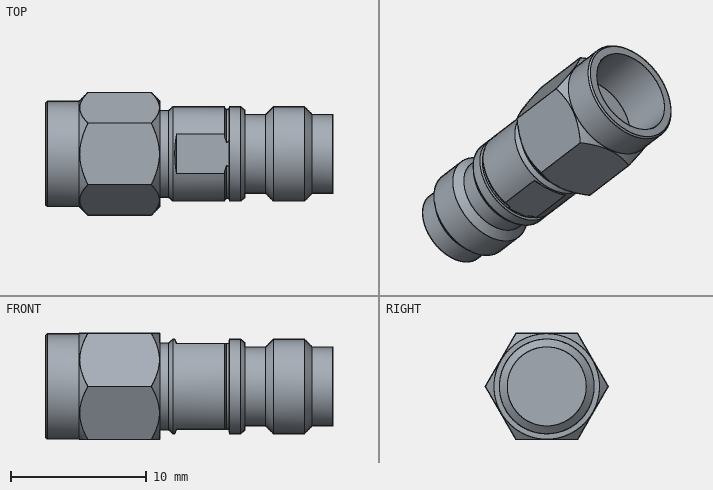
import cadquery as cq
import math


total_length = 21.21
hex_across_flats = 7.87
hex_across_corners = hex_across_flats / math.cos(math.radians(30))
nut_sleeve_radius = 3.9
nut_sleeve_bevel = 0.12
hex_start = 2.48
hex_end = 8.44
nut_bore_radius = 3.18
nut_bore_depth = 4.1

neck_radius = 3.22
body_radius = 3.5
body_start = 9.09
body_bevel_length = 0.31

groove_start = 13.21
groove_front_foot = 13.23
groove_middle = 13.36
groove_rear_foot = 13.53
groove_end = 13.59
groove_front_foot_radius = 3.4
groove_middle_radius = 3.29
groove_rear_foot_radius = 3.32

collar_end = 14.72
collar_rear_bevel_length = 0.33
collar_rear_bevel_height = 0.27
rear_neck_radius = 2.92
ring_start = 16.25
ring_end = 19.68
ring_bevel = body_radius - rear_neck_radius

flat_height = 3.18
flat_start = 9.67
flat_run_out = 0.14


def revolve_about_x(profile):
    return profile.close().revolve(360, (0, 0, 0), (1, 0, 0))


def make_sleeve():
    """Round front part of the nut, bevelled at its mouth."""
    sleeve = cq.Workplane("YZ").circle(nut_sleeve_radius).extrude(hex_end)
    return sleeve.faces("<X").chamfer(nut_sleeve_bevel)


def make_hex():
    """Hexagon with corners on +Y and -Y, both ends turned to 45 degree cones."""
    hexagon = (
        cq.Workplane("YZ")
        .workplane(offset=hex_start)
        .polygon(6, hex_across_corners)
        .extrude(hex_end - hex_start)
    )
    cone_length = hex_across_corners / 2 - nut_sleeve_radius
    corner_radius = nut_sleeve_radius + cone_length
    envelope = revolve_about_x(
        cq.Workplane("XY")
        .moveTo(hex_start, 0)
        .lineTo(hex_start, nut_sleeve_radius)
        .lineTo(hex_start + cone_length, corner_radius)
        .lineTo(hex_end - cone_length, corner_radius)
        .lineTo(hex_end, nut_sleeve_radius)
        .lineTo(hex_end, 0)
    )
    return hexagon.intersect(envelope)


def make_turned_body():
    """Everything behind the nut, turned from one profile."""
    return revolve_about_x(
        cq.Workplane("XY")
        .moveTo(hex_end, 0)
        .lineTo(hex_end, neck_radius)
        .lineTo(body_start, neck_radius)
        .lineTo(body_start + body_bevel_length, body_radius)
        .lineTo(groove_start, body_radius)
        .lineTo(groove_front_foot, groove_front_foot_radius)
        .lineTo(groove_middle, groove_middle_radius)
        .lineTo(groove_rear_foot, groove_rear_foot_radius)
        .lineTo(groove_end, body_radius)
        .lineTo(collar_end - collar_rear_bevel_length, body_radius)
        .lineTo(collar_end, body_radius - collar_rear_bevel_height)
        .lineTo(collar_end, rear_neck_radius)
        .lineTo(ring_start, rear_neck_radius)
        .lineTo(ring_start + ring_bevel, body_radius)
        .lineTo(ring_end - ring_bevel, body_radius)
        .lineTo(ring_end, rear_neck_radius)
        .lineTo(total_length, rear_neck_radius)
        .lineTo(total_length, 0)
    )


def make_flat_cutter(side):
    """Cutter for one wrench flat; side is +1 for the top and -1 for the bottom."""
    return (
        cq.Workplane("XZ")
        .moveTo(flat_start, side * flat_height)
        .lineTo(groove_rear_foot, side * flat_height)
        .lineTo(groove_rear_foot, side * body_radius)
        .lineTo(flat_start - flat_run_out, side * body_radius)
        .close()
        .extrude(body_radius, both=True)
    )


def make_nut_bore():
    return cq.Workplane("YZ").circle(nut_bore_radius).extrude(nut_bore_depth)


result = make_sleeve().union(make_hex()).union(make_turned_body())
for flat_side in (1, -1):
    result = result.cut(make_flat_cutter(flat_side))
result = result.cut(make_nut_bore())